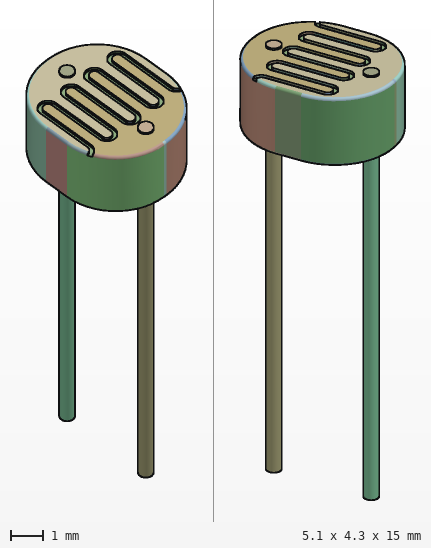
import cadquery as cq
import math

body_length = 5.1
body_width = 4.3
body_height = 2.38
corner_radius = 2.1
rim_radius = 0.09

total_height = 15.0
lead_diameter = 0.5
lead_spacing = 3.4
lead_protrusion = 0.06

row_count = 8
row_span = 3.5
groove_width = 0.15
groove_depth = 0.09
row_half_length = 1.02

body_top = total_height - lead_protrusion
body_bottom = body_top - body_height
row_pitch = row_span / (row_count - 1)
turn_radius = row_pitch / 2


def make_body():
    block = cq.Workplane("XY").workplane(offset=body_bottom).rect(body_length, body_width).extrude(body_height)
    rounded = block.edges("|Z").fillet(corner_radius)
    return rounded.faces("<Z or >Z").edges().fillet(rim_radius)


def make_leads():
    lead_positions = [(-lead_spacing / 2, 0), (lead_spacing / 2, 0)]
    return cq.Workplane("XY").pushPoints(lead_positions).circle(lead_diameter / 2).extrude(total_height)


def turn(path, side, y_start):
    """Add the half-circle leading from one row to the next on the given side (+1 or -1)."""
    middle = (side * (row_half_length + turn_radius), y_start + turn_radius)
    return path.threePointArc(middle, (side * row_half_length, y_start + row_pitch))


def quarter_turn_points(y_row, outward):
    """Mid-point and far end of the quarter arc that carries an outer row off the body edge."""
    diagonal = turn_radius * math.sqrt(0.5)
    middle = (row_half_length + diagonal, y_row + outward * (turn_radius - diagonal))
    end = (row_half_length + turn_radius, y_row + outward * turn_radius)
    return middle, end


def make_groove():
    last_row = row_span / 2
    entry_middle, entry = quarter_turn_points(-last_row, -1)
    exit_middle, exit_end = quarter_turn_points(last_row, 1)

    path = cq.Workplane("XY").workplane(offset=body_top - groove_depth).moveTo(*entry)
    path = path.threePointArc(entry_middle, (row_half_length, -last_row))
    side = -1
    for row in range(row_count):
        y_row = row * row_pitch - last_row
        path = path.lineTo(side * row_half_length, y_row)
        if row < row_count - 1:
            path = turn(path, side, y_row)
            side = -side
    path = path.threePointArc(exit_middle, exit_end)
    centreline = path.wire()
    return centreline.offset2D(groove_width / 2).extrude(groove_depth)


result = make_body().cut(make_groove()).union(make_leads())